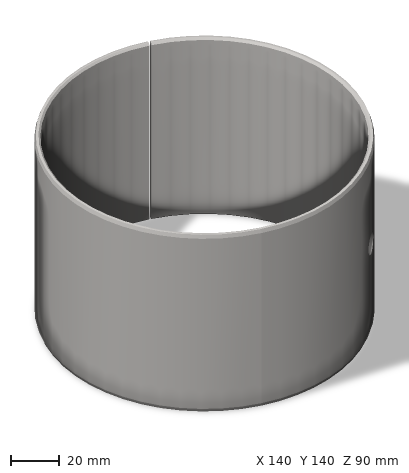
import cadquery as cq

outer_diameter = 140
length = 90.0
wall = 2.5
outer_radius = outer_diameter / 2
inner_radius = outer_radius - wall

outer_chamfer_length = 1.7
outer_chamfer_depth = 0.5
inner_chamfer = 0.8

gap_width = 1.0
hole_diameter = 10.0
hole_angle = 59


def sleeve():
    """Revolve the chamfered wall section about Z, centred on the origin."""
    top = length / 2
    section = [
        (inner_radius, inner_chamfer - top),
        (inner_radius + inner_chamfer, -top),
        (outer_radius - outer_chamfer_depth, -top),
        (outer_radius, outer_chamfer_length - top),
        (outer_radius, top - outer_chamfer_length),
        (outer_radius - outer_chamfer_depth, top),
        (inner_radius + inner_chamfer, top),
        (inner_radius, top - inner_chamfer),
    ]
    return cq.Workplane("XZ").polyline(section).close().revolve(360, (0, 0), (0, 1))


def gap_cutter():
    """Full-length slit on the -X side, with one face on the XZ plane."""
    return (
        cq.Workplane("XY")
        .box(outer_radius, gap_width, length, centered=(False, False, True))
        .translate((-outer_radius, 0, 0))
    )


def oil_hole_cutter():
    """Radial drill through one side of the wall at mid length."""
    drill = cq.Workplane("YZ").circle(hole_diameter / 2).extrude(outer_diameter)
    return drill.rotate((0, 0, 0), (0, 0, 1), hole_angle)


result = sleeve().cut(gap_cutter()).cut(oil_hole_cutter())